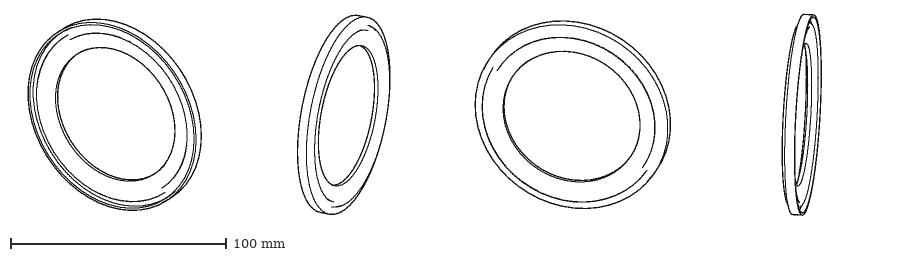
import cadquery as cq
import math

outer_radius = 46.6
lip_inner_radius = 45.5
bore_radius = 33.1
bead_outer_radius = 43.0
bead_inner_radius = 40.5

flange_thickness = 4.6
web_thickness = 1.9
bead_height = 1.9
bead_root_fillet = 0.4

bead_radius = (bead_outer_radius - bead_inner_radius) / 2
bead_center_radius = (bead_outer_radius + bead_inner_radius) / 2

back_face = flange_thickness
web_front = flange_thickness - web_thickness


def revolve_about_y(profile):
    return profile.revolve(360, (0, 0, 0), (0, 1, 0))


def ring(inner, outer, front, back):
    """Rectangular-section ring between two radii and two Y positions."""
    corners = [(inner, front), (outer, front), (outer, back), (inner, back)]
    return revolve_about_y(cq.Workplane("XY").polyline(corners).close())


def bead(face, direction):
    """Round-topped bead with flared roots, rising from a face along +Y (1) or -Y (-1)."""
    def height(distance):
        return face + direction * distance

    shoulder = height(bead_height - bead_radius)
    flare_top = height(bead_root_fillet)
    flare_reach = bead_root_fillet * (1 - math.sqrt(0.5))
    flare_mid = height(flare_reach)
    buried = height(-web_thickness / 2)
    root_inner = bead_inner_radius - bead_root_fillet
    root_outer = bead_outer_radius + bead_root_fillet
    profile = (
        cq.Workplane("XY")
        .moveTo(root_inner, buried)
        .lineTo(root_inner, face)
        .threePointArc((bead_inner_radius - flare_reach, flare_mid), (bead_inner_radius, flare_top))
        .lineTo(bead_inner_radius, shoulder)
        .threePointArc((bead_center_radius, height(bead_height)), (bead_outer_radius, shoulder))
        .lineTo(bead_outer_radius, flare_top)
        .threePointArc((bead_outer_radius + flare_reach, flare_mid), (root_outer, face))
        .lineTo(root_outer, buried)
        .close()
    )
    return revolve_about_y(profile)


web = ring(bore_radius, outer_radius, web_front, back_face)
lip = ring(lip_inner_radius, outer_radius, 0, back_face)
front_bead = bead(web_front, -1)
back_bead = bead(back_face, 1)

result = web.union(lip).union(front_bead).union(back_bead)